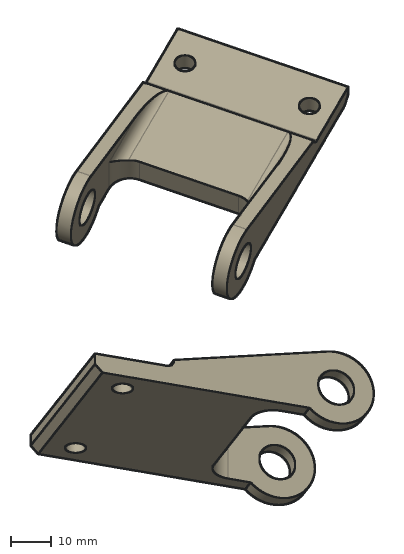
import cadquery as cq
import math

width = 46.5
length = 74.0
eye_diameter = 20.0
pivot_hole_diameter = 9.5
arm_thickness = 4.0
step_height = 2.0
plate_thickness = 5.0
plate_length = 19.0
edge_chamfer = 2.0
web_front_y = 18.9
web_corner_radius = 5.8
channel_fillet_radius = 3.0
screw_hole_diameter = 5.2
screw_hole_spacing = 33.95
screw_hole_edge_distance = 9.6

eye_radius = eye_diameter / 2
rear_y = length - eye_radius
plate_front_y = rear_y - plate_length
step_top_y = plate_front_y - step_height
plate_top_z = -step_height
bottom_z = plate_top_z - plate_thickness
inner_width = width - 2 * arm_thickness

tangent_angle = math.acos(eye_radius / step_top_y)
tangent_y = eye_radius * math.cos(tangent_angle)
tangent_z = eye_radius * math.sin(tangent_angle)
eye_bottom_y = math.sqrt(eye_radius**2 - bottom_z**2)


def side_body():
    """Side profile extruded across the full width."""
    cove_offset = step_height * math.cos(math.pi / 4)
    cove_middle = (plate_front_y - cove_offset, -cove_offset)
    return (
        cq.Workplane("YZ")
        .moveTo(eye_bottom_y, bottom_z)
        .lineTo(rear_y - edge_chamfer, bottom_z)
        .lineTo(rear_y, bottom_z + edge_chamfer)
        .lineTo(rear_y, plate_top_z)
        .lineTo(plate_front_y, plate_top_z)
        .threePointArc(cove_middle, (step_top_y, 0))
        .lineTo(tangent_y, tangent_z)
        .threePointArc((-eye_radius, 0), (eye_bottom_y, bottom_z))
        .close()
        .extrude(width / 2, both=True)
    )


def space_between_arms(end_y, floor_z):
    """Block of space between the arms, reaching back to end_y and down to floor_z."""
    return cq.Workplane("XY").box(
        inner_width, end_y + length, length, centered=(True, False, False)
    ).translate((0, -length, floor_z))


def channel():
    """Space above the web, with rounded lower edges along the arms."""
    return space_between_arms(plate_front_y, 0).edges("|Y and <Z").fillet(channel_fillet_radius)


def front_opening():
    """Gap in front of the web, with rounded inner corners."""
    return space_between_arms(web_front_y, -eye_diameter).edges("|Z and >Y").fillet(web_corner_radius)


def pivot_hole():
    """Bore along X through both eyes."""
    return cq.Workplane("YZ").circle(pivot_hole_diameter / 2).extrude(width, both=True)


def screw_holes():
    """Pair of vertical through holes in the mounting plate."""
    hole_y = rear_y - screw_hole_edge_distance
    return (
        cq.Workplane("XY")
        .pushPoints([(side * screw_hole_spacing / 2, hole_y) for side in (-1, 1)])
        .circle(screw_hole_diameter / 2)
        .extrude(eye_diameter, both=True)
    )


result = side_body().cut(channel()).cut(front_opening()).cut(pivot_hole()).cut(screw_holes())